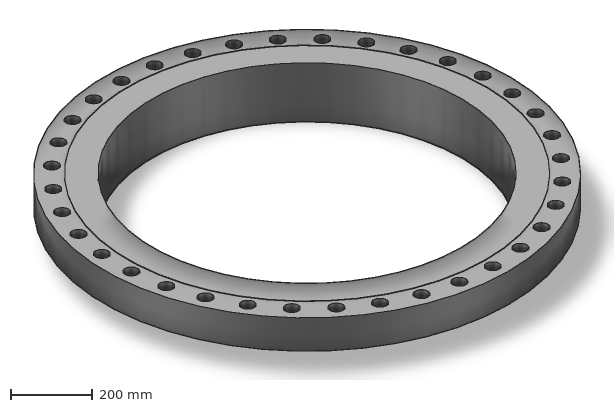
import cadquery as cq
import math

flange_diameter = 1346.2
overall_height = 171.45
flange_thickness = 98.4
bore_diameter = 1028.7

raised_face_diameter = 1193.8
raised_face_height = 1.6

hub_diameter = 1092.2
root_fillet_radius = 14.5
neck_end_diameter = 1072.0
bevel_height = 15.0
bevel_end_diameter = 1033.0

bolt_count = 36
bolt_circle_diameter = 1257.3
bolt_hole_diameter = 41.3

flange_bottom = overall_height - flange_thickness
plate_top = overall_height - raised_face_height


def flange_body():
    """Revolve the half section about the Z axis, then round the hub root."""
    section = [
        (bore_diameter, 0),
        (bevel_end_diameter, 0),
        (neck_end_diameter, bevel_height),
        (hub_diameter, flange_bottom),
        (flange_diameter, flange_bottom),
        (flange_diameter, plate_top),
        (raised_face_diameter, plate_top),
        (raised_face_diameter, overall_height),
        (bore_diameter, overall_height),
    ]
    points = [(-diameter / 2, height) for diameter, height in section]
    body = cq.Workplane("XZ").polyline(points).close().revolve(360, (0, 0), (0, 1))
    hub_root = body.edges("%CIRCLE").filter(
        lambda edge: math.isclose(edge.radius(), hub_diameter / 2)
    )
    return hub_root.fillet(root_fillet_radius)


def bolt_holes():
    """Ring of through-hole cutters, with one hole on the X axis."""
    return (
        cq.Workplane("XY")
        .workplane(offset=flange_bottom)
        .polarArray(bolt_circle_diameter / 2, 0, 360, bolt_count)
        .circle(bolt_hole_diameter / 2)
        .extrude(flange_thickness)
    )


result = flange_body().cut(bolt_holes())